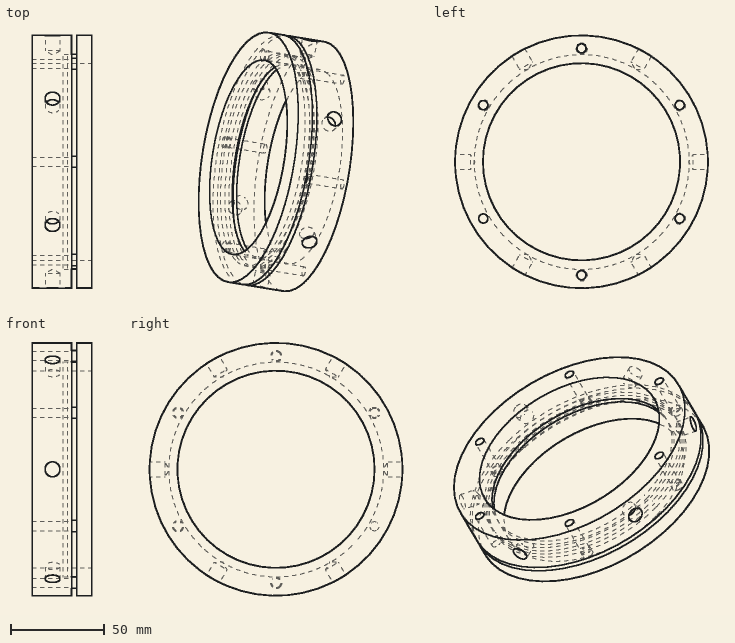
import cadquery as cq
import math

outer_radius = 67.5
bore_radius = 52.5
total_length = 32.0
front_ring_length = 21.2
gap_width = 2.5
spigot_radius = 57.4
step_depth = 4.9

hole_count = 6
empty_hole = 4
pin_circle_radius = 60.5
pin_diameter = 6.0
pin_hole_diameter = 4.9

radial_hole_diameter = 8.0
radial_hole_depth = 8.1
radial_hole_x = 11.0
drill_tip_angle = 118.0

rear_ring_start = front_ring_length + gap_width
rear_ring_length = total_length - rear_ring_start
spigot_start = rear_ring_start - step_depth
counterbore_start = front_ring_length - step_depth

x_axis = cq.Vector(1, 0, 0)


def make_tube(start_x, length, outside_radius, inside_radius):
    """Tube along X, centred on the X axis."""
    profile = cq.Workplane("YZ", origin=(start_x, 0, 0)).circle(outside_radius).circle(inside_radius)
    return profile.extrude(length)


def pin_centre(index):
    """Y and Z of one pin; the first pin is at +Z."""
    angle = math.radians(90 + index * 360 / hole_count)
    return pin_circle_radius * math.cos(angle), pin_circle_radius * math.sin(angle)


def make_pin_hole(index):
    y, z = pin_centre(index)
    return cq.Solid.makeCylinder(
        pin_hole_diameter / 2, front_ring_length, cq.Vector(0, y, z), x_axis
    )


def make_radial_hole(index):
    """Drill shape pointing at the X axis; the first hole enters from +Y."""
    radius = radial_hole_diameter / 2
    tip_length = radius / math.tan(math.radians(drill_tip_angle / 2))
    shoulder = outer_radius - radial_hole_depth
    drill = (
        cq.Workplane("XY")
        .moveTo(0, shoulder - tip_length)
        .lineTo(radius, shoulder)
        .lineTo(radius, outer_radius)
        .lineTo(0, outer_radius)
        .close()
        .revolve(360, (0, 0, 0), (0, 1, 0))
        .translate((radial_hole_x, 0, 0))
    )
    return drill.rotate((0, 0, 0), (1, 0, 0), index * 360 / hole_count)


def make_front_ring():
    ring = make_tube(0, front_ring_length, outer_radius, bore_radius)
    ring = ring.cut(make_tube(counterbore_start, step_depth, spigot_radius, bore_radius))
    for index in range(hole_count):
        ring = ring.cut(cq.Workplane(make_pin_hole(index)))
        ring = ring.cut(make_radial_hole(index))
    return ring


def make_rear_ring():
    flange = make_tube(rear_ring_start, rear_ring_length, outer_radius, bore_radius)
    spigot = make_tube(spigot_start, step_depth, spigot_radius, bore_radius)
    return flange.union(spigot)


def make_pin(index):
    """Plain pin that spans the gap between the two rings."""
    y, z = pin_centre(index)
    return cq.Solid.makeCylinder(
        pin_diameter / 2, gap_width, cq.Vector(front_ring_length, y, z), x_axis
    )


front_ring = make_front_ring()
rear_ring = make_rear_ring()
pins = [make_pin(index) for index in range(hole_count) if index != empty_hole]

result = cq.Compound.makeCompound([front_ring.val(), rear_ring.val(), *pins])